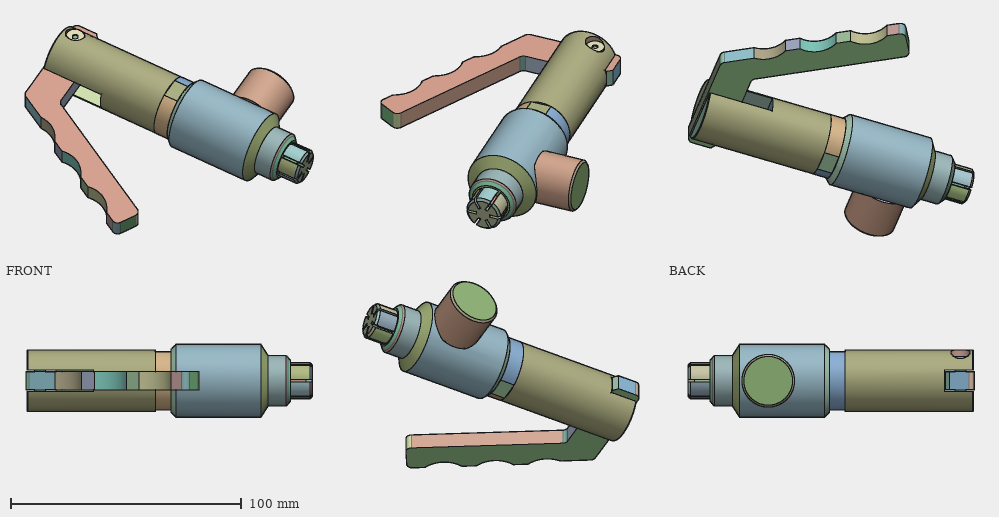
import cadquery as cq
import math


grip_start = 0.5
grip_dia = 26.8
neck_dia = 27.0
grip_chamfer = 0.4
neck_start = 56.1
neck_flat_height = 12.7

body_start = 62.8
body_start_dia = 27.5
body_full_start = 65.1
body_dia = 31.8
body_end = 101.8
end_cone_length = 3.1

collar_dia = 22.0
collar_end = 114.7
collar_chamfer = 0.7
collar_tip_length = 1.2
collar_tip_narrowing = 1.5

nose_dia = 15.8
nose_end = 124.2
nose_chamfer = 1.0
spline_count = 6
spline_width = 1.1
spline_root_dia = 9.9
spline_relief_start = 121.3
spline_relief_dia = 6.2

outlet_x = 89.4
outlet_dia = 22.8
outlet_start = 12.4
outlet_end = 31.4
outlet_chamfer = 0.9

pivot_x = 6.1
pivot_y = 5.2
pin_dia = 4.8
pin_head_dia = 8.2
pin_head_top = 10.5
pin_head_bottom = 8.1
pin_dimple_dia = 2.5
pin_dimple_depth = 0.6
pin_recess_dia = 8.3
lever_hole_dia = 5.0

slot_width = 9.2
slot_end = 12.9
pocket_end = 29.3
pocket_top = pivot_y

lever_thickness = 8.0
lever_top = 15.5
head_width = 12.7
arm_width = 15.5
head_corner_length = 1.7
head_corner_drop = 2.2
elbow_y = -24.8
handle_angle = 30
handle_length = 69.7
handle_thickness = 12.4
heel_thickness = 11.0
lever_corner_radius = 2.5

finger_count = 3
first_finger = 9.1
finger_pitch = 22.4
finger_width = 16.0
finger_radius = 12.4


def x_cylinder(start, end, dia):
    return cq.Workplane("YZ").workplane(offset=start).circle(dia / 2).extrude(end - start)


def z_cylinder(bottom, top, dia):
    plane = cq.Workplane("XY").workplane(offset=bottom).center(pivot_x, pivot_y)
    return plane.circle(dia / 2).extrude(top - bottom)


def turned_housing():
    """All the round shapes on the X axis, as one revolved profile."""
    grip_r = grip_dia / 2
    body_r = body_dia / 2
    collar_r = collar_dia / 2
    nose_r = nose_dia / 2
    rim_x = collar_end - collar_tip_length
    rim_r = collar_r - collar_chamfer
    profile = (
        cq.Workplane("XY")
        .moveTo(grip_start, 0)
        .lineTo(grip_start, grip_r - grip_chamfer)
        .lineTo(grip_start + grip_chamfer, grip_r)
        .lineTo(neck_start, grip_r)
        .lineTo(neck_start, neck_dia / 2)
        .lineTo(body_start, neck_dia / 2)
        .lineTo(body_start, body_start_dia / 2)
        .lineTo(body_full_start, body_r)
        .lineTo(body_end, body_r)
        .lineTo(body_end + end_cone_length, collar_r)
        .lineTo(rim_x - collar_chamfer, collar_r)
        .lineTo(rim_x, rim_r)
        .lineTo(collar_end, rim_r - collar_tip_narrowing)
        .lineTo(collar_end, nose_r)
        .lineTo(nose_end - nose_chamfer, nose_r)
        .lineTo(nose_end, nose_r - nose_chamfer)
        .lineTo(nose_end, 0)
        .close()
    )
    return profile.revolve(360, (0, 0, 0), (1, 0, 0))


def outlet():
    """Side stub whose flat inner end overhangs the curved body slightly."""
    plane = cq.Workplane("XZ", origin=(outlet_x, outlet_start, 0))
    stub = plane.circle(outlet_dia / 2).extrude(outlet_start - outlet_end)
    return stub.faces(">Y").chamfer(outlet_chamfer)


def neck_flats():
    """Material removed to leave wrench flats above and below the neck."""
    depth = neck_dia / 2
    length = body_start - neck_start
    block = cq.Workplane("XY").box(length, neck_dia, depth, centered=(False, True, False))
    upper = block.translate((neck_start, 0, neck_flat_height))
    return upper.union(upper.mirror("XY"))


def lever_slot():
    """Slot open on both sides of the grip, with a longer pocket on the -Y side."""
    through = cq.Workplane("XY").box(slot_end, grip_dia, slot_width, centered=(False, True, True))
    pocket = (
        cq.Workplane("XY")
        .box(pocket_end, grip_dia, slot_width, centered=(False, False, True))
        .translate((0, pocket_top - grip_dia, 0))
    )
    return through.union(pocket)


def pin_recess():
    return z_cylinder(pin_head_bottom, grip_dia, pin_recess_dia)


def pivot_pin():
    shank = z_cylinder(-pin_head_bottom, pin_head_bottom, pin_dia)
    head = z_cylinder(pin_head_bottom, pin_head_top, pin_head_dia)
    dimple = z_cylinder(pin_head_top - pin_dimple_depth, pin_head_top, pin_dimple_dia)
    return shank.union(head).cut(dimple)


def spline_grooves():
    length = nose_end - collar_end
    blade = cq.Workplane("XY").box(length, nose_dia, spline_width, centered=(False, False, True))
    root = x_cylinder(collar_end, spline_relief_start, spline_root_dia)
    relief = x_cylinder(spline_relief_start, nose_end, spline_relief_dia)
    blade = blade.translate((collar_end, 0, 0)).cut(root).cut(relief)
    grooves = blade
    for index in range(1, spline_count):
        angle = index * 360 / spline_count
        grooves = grooves.union(blade.rotate((0, 0, 0), (1, 0, 0), angle))
    return grooves


def make_housing():
    """Housing in one piece with the outlet and the pivot pin."""
    housing = turned_housing().cut(neck_flats()).union(outlet())
    housing = housing.cut(spline_grooves()).cut(lever_slot())
    return housing.cut(pin_recess()).union(pivot_pin())


angle_rad = math.radians(handle_angle)
heel_y = elbow_y + arm_width * math.tan(angle_rad) - heel_thickness / math.cos(angle_rad)

shoulder_y = pocket_top - (slot_end - head_width)


def handle_point(along, depth):
    """Point on the handle, by distance from the elbow along its inner edge and depth below that edge."""
    x = arm_width + along * math.cos(angle_rad) - depth * math.sin(angle_rad)
    y = elbow_y - along * math.sin(angle_rad) - depth * math.cos(angle_rad)
    return (x, y)


def lever_outline():
    half_width = finger_width / 2
    scallop_depth = math.sqrt(finger_radius**2 - half_width**2)
    center_below_heel = scallop_depth + handle_thickness - heel_thickness
    heel_half_width = math.sqrt(finger_radius**2 - center_below_heel**2)

    outline = cq.Workplane("XY").workplane(offset=-lever_thickness / 2)
    outline = outline.moveTo(0, lever_top).lineTo(0, heel_y)
    for index in range(finger_count):
        center = first_finger + index * finger_pitch
        if index == 0:
            start = handle_point(center - heel_half_width, heel_thickness)
        else:
            start = handle_point(center - half_width, handle_thickness)
        end = handle_point(center + half_width, handle_thickness)
        outline = outline.lineTo(*start).radiusArc(end, finger_radius)
    return (
        outline.lineTo(*handle_point(handle_length, handle_thickness))
        .lineTo(*handle_point(handle_length, 0))
        .lineTo(arm_width, elbow_y)
        .lineTo(arm_width, shoulder_y)
        .lineTo(head_width, shoulder_y)
        .lineTo(head_width, lever_top - head_corner_drop)
        .lineTo(head_width - head_corner_length, lever_top)
        .close()
    )


def make_lever():
    rounded_corners = [
        (0, lever_top),
        (0, heel_y),
        handle_point(handle_length, handle_thickness),
        handle_point(handle_length, 0),
        (arm_width, elbow_y),
    ]
    lever = lever_outline().extrude(lever_thickness)
    for corner in rounded_corners:
        edge = lever.edges(cq.NearestToPointSelector((*corner, 0)))
        lever = edge.fillet(lever_corner_radius)
    return lever.cut(z_cylinder(-lever_thickness, lever_thickness, lever_hole_dia))


housing = make_housing()
lever = make_lever()
result = cq.Compound.makeCompound([housing.val(), lever.val()])